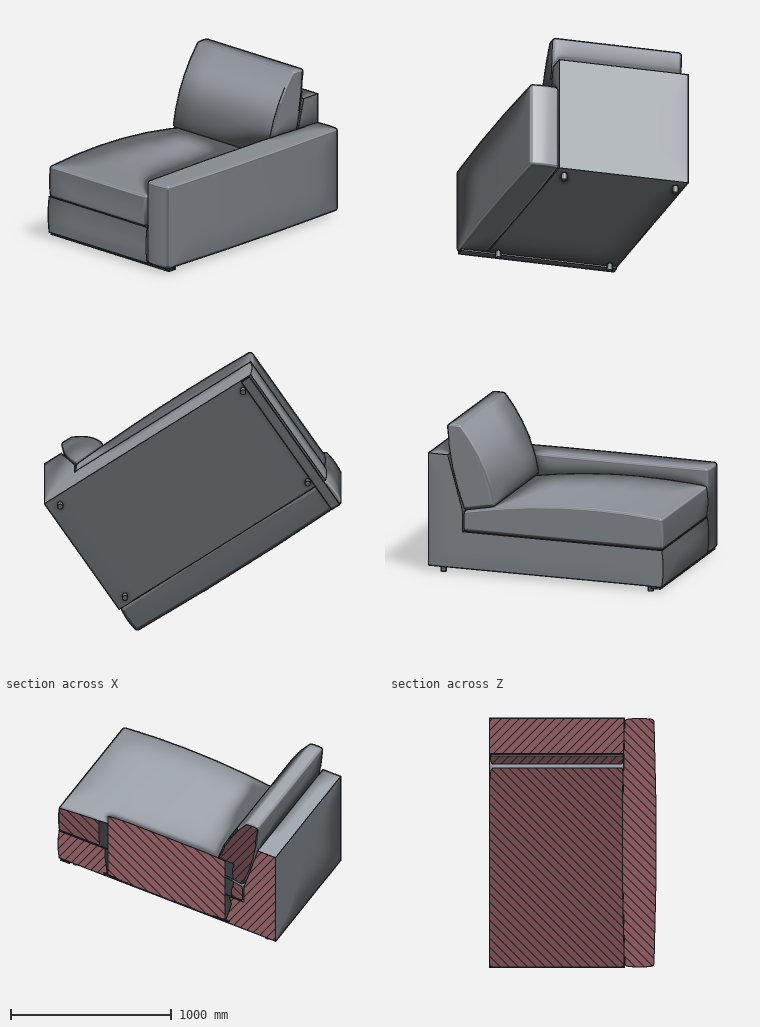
import cadquery as cq


length = 1550.0
seat_width = 840.0
total_width = 1039.0
leg_height = 43.0

frame_deck_height = 279.0
frame_back_height = 767.0
frame_back_thickness = 127.0
backrest_foot = 1324.0
backrest_foot_height = 408.0
front_bulge = 10.0

cushion_rounding = 22.0
seat_crown = (488.0, 507.0)
seat_front_height = 482.0
seat_back_height = 412.0
seat_back_bulge = 6.0
back_top_rear = (1431.0, 961.0)
back_top_middle = (1385.0, 966.0)
back_top_front = (1341.0, 963.0)
back_front_middle = (1225.0, 792.0)
back_bottom_front = (1115.0, 456.0)
back_bottom_rear = (1315.0, 417.0)
back_rear_middle = (1398.0, 693.0)

arm_height = 589.0
arm_left = 828.0
arm_side_bulge = 14.0
arm_end_bulge = 10.0
arm_rounding = 22.0

strip_left = 5.0
strip_width = 1012.0
strip_front = 22.0
strip_depth = 60.0
strip_bottom = 28.0
strip_thickness = 11.0

leg_diameter = 33.0
leg_side_inset = 57.0
leg_front_inset = 104.0
leg_back_inset = 80.0


def make_armrest():
    """Upright block whose four sides curve out, with every edge rounded."""
    left = arm_left + arm_side_bulge
    right = total_width - arm_side_bulge
    front = arm_end_bulge
    back = length - arm_end_bulge
    middle_x = (left + right) / 2
    middle_y = length / 2
    return (
        cq.Workplane("XY", origin=(0, 0, leg_height))
        .moveTo(left, front)
        .threePointArc((middle_x, 0), (right, front))
        .threePointArc((total_width, middle_y), (right, back))
        .threePointArc((middle_x, length), (left, back))
        .threePointArc((arm_left, middle_y), (left, front))
        .close()
        .extrude(arm_height - leg_height)
        .edges()
        .fillet(arm_rounding)
    )


def make_seat_cushion():
    """Long cushion with a crowned top, resting on the deck of the frame."""
    front = front_bulge
    back = backrest_foot - seat_back_bulge
    front_middle_height = (frame_deck_height + seat_front_height) / 2
    back_middle_height = (frame_deck_height + seat_back_height) / 2
    return (
        cq.Workplane("YZ")
        .moveTo(front, frame_deck_height)
        .lineTo(back, frame_deck_height)
        .threePointArc((backrest_foot, back_middle_height), (back, seat_back_height))
        .threePointArc(seat_crown, (front, seat_front_height))
        .threePointArc((0, front_middle_height), (front, frame_deck_height))
        .close()
        .extrude(seat_width)
        .edges()
        .fillet(cushion_rounding)
    )


def make_back_cushion():
    """Leaning cushion standing on the seat cushion, with curved front, rear and top."""
    return (
        cq.Workplane("YZ")
        .moveTo(*back_bottom_rear)
        .lineTo(*back_bottom_front)
        .threePointArc(back_front_middle, back_top_front)
        .threePointArc(back_top_middle, back_top_rear)
        .threePointArc(back_rear_middle, back_bottom_rear)
        .close()
        .extrude(seat_width)
        .edges()
        .fillet(cushion_rounding)
    )


def make_frame():
    """Seat deck and sloping backrest in one L-shaped block with a curved front face."""
    deck_middle_height = (leg_height + frame_deck_height) / 2
    return (
        cq.Workplane("YZ")
        .moveTo(front_bulge, leg_height)
        .lineTo(length, leg_height)
        .lineTo(length, frame_back_height)
        .lineTo(length - frame_back_thickness, frame_back_height)
        .lineTo(backrest_foot, backrest_foot_height)
        .lineTo(backrest_foot, frame_deck_height)
        .lineTo(front_bulge, frame_deck_height)
        .threePointArc((0, deck_middle_height), (front_bulge, leg_height))
        .close()
        .extrude(seat_width)
    )


def make_base_strip():
    """Thin flat strip running across the front, just below the frame."""
    return cq.Workplane("XY", origin=(strip_left, strip_front, strip_bottom)).box(
        strip_width, strip_depth, strip_thickness, centered=False
    )


def make_leg(x, y):
    """Round leg from the floor to the underside of the frame."""
    return cq.Workplane("XY", origin=(x, y, 0)).circle(leg_diameter / 2).extrude(leg_height)


armrest = make_armrest()
frame = make_frame().cut(armrest)
seat_cushion = make_seat_cushion().cut(armrest)
back_cushion = make_back_cushion().cut(armrest)
base_strip = make_base_strip()

legs = []
for leg_x in (leg_side_inset, seat_width - leg_side_inset):
    for leg_y in (leg_front_inset, length - leg_back_inset):
        legs.append(make_leg(leg_x, leg_y).val())

result = cq.Compound.makeCompound(
    [
        frame.val(),
        seat_cushion.val(),
        back_cushion.val(),
        armrest.val(),
        base_strip.val(),
        *legs,
    ]
)